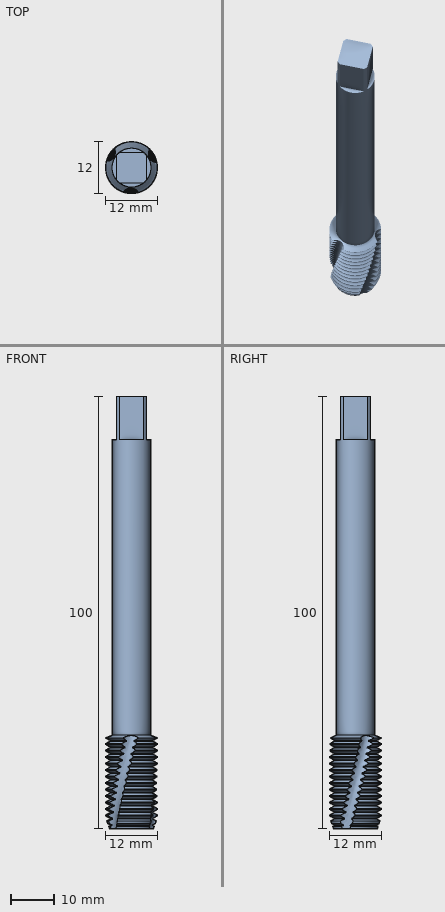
import cadquery as cq
import math

overall_length = 100.0
head_length = 21.65
square_length = 10.0

shank_diameter = 9.0
square_width = 7.0

thread_diameter = 12.0
thread_pitch = 1.5
thread_angle = 60.0
crest_width = thread_pitch / 8
groove_width = thread_pitch - crest_width
root_width = thread_pitch / 8
groove_depth = (groove_width - root_width) / 2 / math.tan(math.radians(thread_angle / 2))
first_groove_height = 0.85
groove_count = 14

lead_length = 2.6
lead_end_diameter = 10.2

shoulder_height = 0.6

flute_count = 3
flute_radius = 2.0
flute_floor_radius = 4.75
flute_twist = 56.0
flute_top_angle = -90.0

thread_radius = thread_diameter / 2


def make_head_blank():
    """Cylinder with a tapered lead below and a conical shoulder above."""
    outline = [
        (0, 0),
        (lead_end_diameter / 2, 0),
        (thread_radius, lead_length),
        (thread_radius, head_length - shoulder_height),
        (shank_diameter / 2, head_length),
        (0, head_length),
    ]
    return cq.Workplane("XZ").polyline(outline).close().revolve(360, (0, 0), (0, 1))


def make_thread_groove(height):
    """Ring with a trapezoid section that leaves the thread crests standing."""
    root_radius = thread_radius - groove_depth
    outline = [
        (root_radius, height - root_width / 2),
        (thread_radius, height - groove_width / 2),
        (thread_radius, height + groove_width / 2),
        (root_radius, height + root_width / 2),
    ]
    return cq.Workplane("XZ").polyline(outline).close().revolve(360, (0, 0), (0, 1))


def make_flute(top_angle):
    """Twisted round groove over the full head, ending at top_angle on the upper face."""
    flute = (
        cq.Workplane("XY")
        .pushPoints([(flute_floor_radius + flute_radius, 0)])
        .circle(flute_radius)
        .twistExtrude(head_length, flute_twist)
    )
    return flute.rotate((0, 0, 0), (0, 0, 1), top_angle - flute_twist)


def make_head():
    head = make_head_blank()
    for index in range(groove_count):
        head = head.cut(make_thread_groove(first_groove_height + index * thread_pitch))
    for index in range(flute_count):
        head = head.cut(make_flute(flute_top_angle + index * 360 / flute_count))
    return head


def make_shank():
    """Round shank whose top end is flattened to a square with round corners."""
    square_start = overall_length - square_length
    round_bar = (
        cq.Workplane("XY", origin=(0, 0, head_length))
        .circle(shank_diameter / 2)
        .extrude(square_start - head_length)
    )
    corner_bar = (
        cq.Workplane("XY", origin=(0, 0, square_start))
        .circle(shank_diameter / 2)
        .extrude(square_length)
    )
    square_bar = (
        cq.Workplane("XY", origin=(0, 0, square_start))
        .rect(square_width, square_width)
        .extrude(square_length)
    )
    return round_bar.union(corner_bar.intersect(square_bar))


head = make_head()
shank = make_shank()
result = cq.Compound.makeCompound([head.val(), shank.val()])